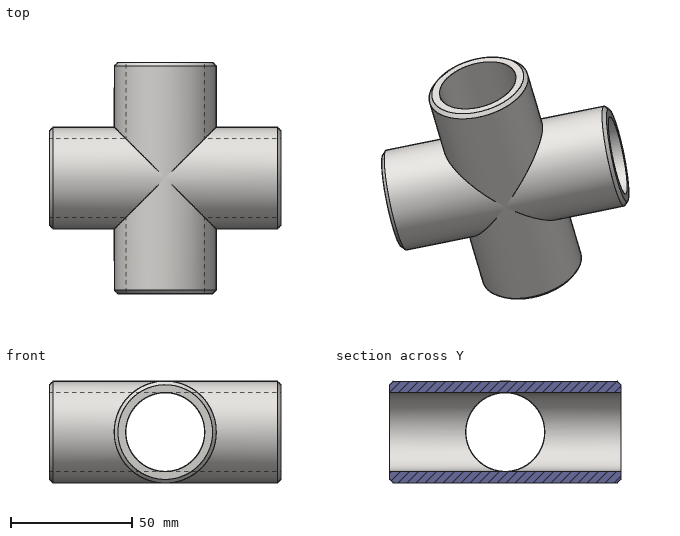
import cadquery as cq

length = 95.5
outer_diameter = 42.1
bore_diameter = 32.5
end_chamfer = 1.5


def chamfered_bar(plane):
    """Solid round bar centred on the origin, with both end rims chamfered."""
    bar = cq.Workplane(plane).circle(outer_diameter / 2).extrude(length / 2, both=True)
    return bar.edges("%CIRCLE").chamfer(end_chamfer)


def through_bore(plane):
    """Round cutter that runs the full length of one tube."""
    return cq.Workplane(plane).circle(bore_diameter / 2).extrude(length / 2, both=True)


tube_planes = ("YZ", "XZ")

result = chamfered_bar(tube_planes[0]).union(chamfered_bar(tube_planes[1]))
for tube_plane in tube_planes:
    result = result.cut(through_bore(tube_plane))